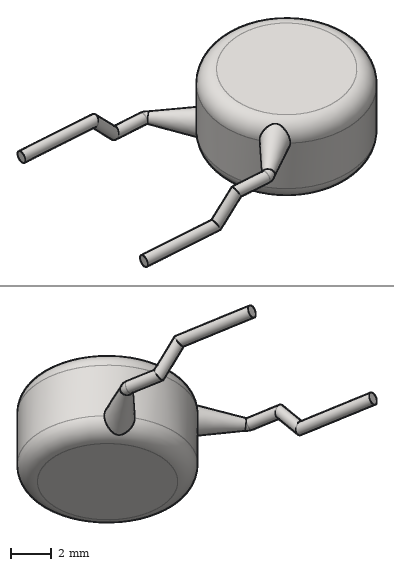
import cadquery as cq
import math

HOUSING_DIAMETER = 9.0
HOUSING_HEIGHT = 5.0
HOUSING_FILLET = 1.0

LEAD_DIAMETER = 0.65
LEAD_SPACING = 10.0
ELBOW_RADIUS = 0.35
OVERALL_LENGTH = 17.3
FIRST_BEND_Y = -6.99
SECOND_BEND_Y = -8.27

COLLAR_ROOT_DIAMETER = 1.52
COLLAR_ANGLE = 45.0

SIDE_TURNS = (0, 180)

housing_radius = HOUSING_DIAMETER / 2
lead_radius = LEAD_DIAMETER / 2
root_radius = COLLAR_ROOT_DIAMETER / 2

lead_x = -LEAD_SPACING / 2
lead_z = HOUSING_FILLET - HOUSING_HEIGHT / 2
lead_end_y = housing_radius - OVERALL_LENGTH

collar_sin = math.sin(math.radians(COLLAR_ANGLE))
collar_cos = math.cos(math.radians(COLLAR_ANGLE))
collar_tip_x = lead_x + ELBOW_RADIUS - ELBOW_RADIUS * collar_cos
collar_tip_distance = -collar_tip_x / collar_sin
elbow_y = -collar_tip_distance * collar_cos - ELBOW_RADIUS * collar_sin


def turned_about_y(body, turn):
    return body.rotate((0, 0, 0), (0, 1, 0), turn)


def make_housing():
    return (
        cq.Workplane("XY")
        .cylinder(HOUSING_HEIGHT, housing_radius)
        .faces("<Z or >Z")
        .edges()
        .fillet(HOUSING_FILLET)
    )


def make_collar(housing, turn):
    """Cone that narrows to the lead's diameter, cut off where it meets the housing."""
    start_distance = housing_radius - HOUSING_FILLET
    taper = (root_radius - lead_radius) / (collar_tip_distance - housing_radius)
    start_radius = root_radius + taper * HOUSING_FILLET
    outward = cq.Vector(-collar_sin, -collar_cos, 0)
    cone = cq.Solid.makeCone(
        start_radius,
        lead_radius,
        collar_tip_distance - start_distance,
        pnt=outward * start_distance + cq.Vector(0, 0, lead_z),
        dir=outward,
    )
    return turned_about_y(cq.Workplane(cone).cut(housing), turn).solids()


def make_lead(turn):
    """Elbow at the collar tip, then a wire with two mitred bends."""
    wire_start = cq.Workplane("XZ", origin=(lead_x, elbow_y, lead_z))
    wire_path = cq.Workplane("YZ", origin=(lead_x, 0, 0)).polyline(
        [(elbow_y, lead_z), (FIRST_BEND_Y, lead_z), (SECOND_BEND_Y, 0), (lead_end_y, 0)]
    )
    wire = wire_start.circle(lead_radius).sweep(wire_path, transition="right")
    elbow_turn = 90 - COLLAR_ANGLE
    elbow = wire_start.circle(lead_radius).revolve(
        elbow_turn, (ELBOW_RADIUS, 0), (ELBOW_RADIUS, -1)
    )
    return turned_about_y(wire.union(elbow), turn).solids()


housing = make_housing()
collars = [make_collar(housing, turn) for turn in SIDE_TURNS]
leads = [make_lead(turn) for turn in SIDE_TURNS]

result = cq.Compound.makeCompound(
    [housing.val(), *[collar.val() for collar in collars], *[lead.val() for lead in leads]]
)